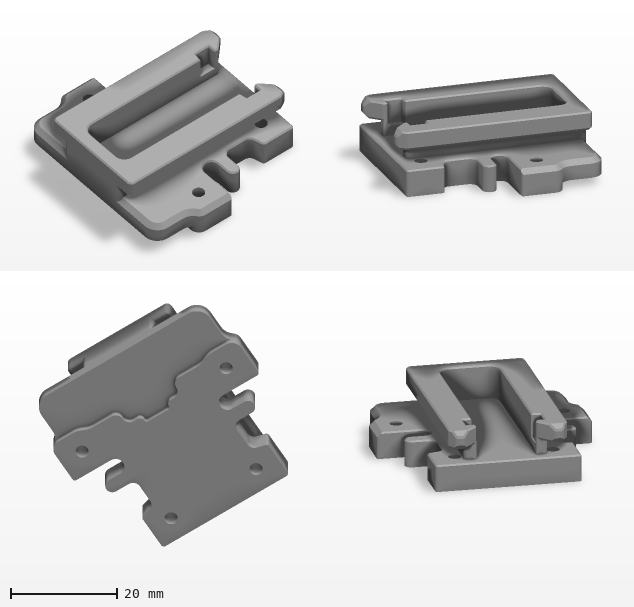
import cadquery as cq
import math

TOLERANCE = 0.01

BASE_TOP = 5.3
STEP_Z = 1.45
WING_HALF = 20.8
FRONT_HALF = 18.9
FRONT_CORNER_R = 3.0
WING_REAR_Y = 17.35
WING_REAR_R = 0.5
SHOULDER_Y = 10.75
SHOULDER_R = 2.0
WAIST_R = 3.0
LIP_CHAMFER = 1.0
FINE_CHAMFER = 0.3

GAP_HALF = 10.9
GAP_R = 1.5
FINGER_HALF = 16.55
FINGER_DIAMETER = 2.7
FINGER_Y = 22.0
TAB_HALF = 14.15
TAB_FRONT_Y = 30.55
TAB_SLOPE = 15.0
TAB_R = 0.6
BASE_REAR_Y = 38.05

HOLE_DIAMETER = 2.5
FRONT_HOLE = (16.15, 12.9)
REAR_HOLE = (9.53, 33.7)

STEP_Y = SHOULDER_Y - SHOULDER_R
OUTER_STEP = (15.6, 11.53)
OUTER_STEP_DEPTH = 1.0
MIDDLE_STEP_START = 7.57
MIDDLE_STEP_R = 1.55
INNER_STEP_START = 3.75
INNER_CONVEX_R = 1.0
INNER_CONCAVE_R = 0.5

NECK_HALF = 8.07
NECK_REAR_Y = 35.95
RAIL_R = 1.0
PLATE_HALF = 11.53
PLATE_BOTTOM = 8.25
PLATE_TOP = 11.95
PLATE_UNDER_CHAMFER = 0.5
PLATE_REAR_Y = 38.95
TIP_SIDE_Y = 36.9
TIP_SIDE_ANGLE = 60.0
TIP_BEVEL = 1.05

SLOT_HALF = 5.8
SLOT_FRONT_Y = 2.9
SLOT_R = 2.0
NOTCH_HALF = 7.55
NOTCH_REAR_Y = 35.0
NOTCH_FRONT_Y = 31.85
NOTCH_MOUTH_Y = 31.55
NOTCH_FLOOR = 7.25


def mirrored(right_points):
    """Complete an outline: the +X points, then their mirror images in reverse order."""
    return right_points + [(-x, y) for x, y in reversed(right_points)]


def both_sides(points):
    return points + [(-x, y) for x, y in points]


def prism(points, bottom, top):
    return cq.Workplane("XY", origin=(0, 0, bottom)).polyline(points).close().extrude(top - bottom)


def round_corners(body, corners, radius):
    """Round the vertical edges that stand on the given XY corners."""
    def on_corner(edge):
        middle = edge.Center()
        return any(math.hypot(middle.x - x, middle.y - y) < TOLERANCE for x, y in corners)

    return body.edges("|Z").filter(on_corner).fillet(radius)


def shoulder_points():
    """Start, middle, inflection, middle and end of the S-curve from front end to wing, +X side."""
    reach = SHOULDER_R + WAIST_R
    angle = math.acos(1 - (WING_HALF - FRONT_HALF) / reach)
    waist_x = FRONT_HALF + WAIST_R
    waist_y = SHOULDER_Y - reach * math.sin(angle)

    def on_waist(turn):
        return waist_x - WAIST_R * math.cos(turn), waist_y + WAIST_R * math.sin(turn)

    def on_shoulder(turn):
        return (WING_HALF - SHOULDER_R * (1 - math.cos(turn)),
                SHOULDER_Y - SHOULDER_R * math.sin(turn))

    return on_waist(0), on_waist(angle / 2), on_waist(angle), on_shoulder(angle / 2), on_shoulder(0)


def make_base():
    finger_r = FINGER_DIAMETER / 2
    finger_front = FINGER_Y - finger_r
    finger_rear = FINGER_Y + finger_r
    finger_end = FINGER_HALF - finger_r
    front_gap_r = (finger_front - WING_REAR_Y) / 2
    front_gap_end = GAP_HALF + front_gap_r
    front_gap_y = WING_REAR_Y + front_gap_r
    tab_root_y = TAB_FRONT_Y - (TAB_HALF - GAP_HALF) * math.tan(math.radians(TAB_SLOPE))
    waist, waist_mid, inflection, shoulder_mid, shoulder = shoulder_points()

    base = (
        cq.Workplane("XY")
        .moveTo(0, 0)
        .lineTo(FRONT_HALF, 0)
        .lineTo(*waist)
        .threePointArc(waist_mid, inflection)
        .threePointArc(shoulder_mid, shoulder)
        .lineTo(WING_HALF, WING_REAR_Y)
        .lineTo(front_gap_end, WING_REAR_Y)
        .threePointArc((GAP_HALF, front_gap_y), (front_gap_end, finger_front))
        .lineTo(finger_end, finger_front)
        .threePointArc((FINGER_HALF, FINGER_Y), (finger_end, finger_rear))
        .lineTo(GAP_HALF, finger_rear)
        .lineTo(GAP_HALF, tab_root_y)
        .lineTo(TAB_HALF, TAB_FRONT_Y)
        .lineTo(TAB_HALF, BASE_REAR_Y)
        .lineTo(0, BASE_REAR_Y)
        .mirrorY()
        .extrude(BASE_TOP)
    )

    gap_corners = [(GAP_HALF, y) for y in (finger_rear, tab_root_y)]
    tab_corners = [(TAB_HALF, TAB_FRONT_Y), (TAB_HALF, BASE_REAR_Y)]
    base = round_corners(base, both_sides([(FRONT_HALF, 0)]), FRONT_CORNER_R)
    base = round_corners(base, both_sides(gap_corners), GAP_R)
    base = round_corners(base, both_sides(tab_corners), TAB_R)

    def on_lip(edge):
        middle = edge.Center()
        return middle.y < WING_REAR_Y - FINE_CHAMFER

    base = base.faces(">Z").edges().filter(on_lip).chamfer(LIP_CHAMFER)
    base = base.faces(">Z").edges().filter(lambda edge: not on_lip(edge)).chamfer(FINE_CHAMFER)
    return round_corners(base, both_sides([(WING_HALF, WING_REAR_Y)]), WING_REAR_R)


def front_recess():
    """Material removed under the front lip, back to a stepped edge with rounded corners."""
    outer_x, level_x = OUTER_STEP
    level_y = STEP_Y + OUTER_STEP_DEPTH
    run = outer_x - level_x
    angle = 2 * math.atan(OUTER_STEP_DEPTH / run)
    outer_r = run / 2 / math.sin(angle)
    bulge_x = outer_r * math.sin(angle / 2)
    bulge_y = outer_r * (1 - math.cos(angle / 2))
    diagonal = math.sqrt(0.5)
    inflection = shoulder_points()[2]

    def quarter_turn(path, start, radius, convex):
        """Quarter arc running inward (-X) and rearward (+Y) from start."""
        x, y = start
        along, aside = diagonal * radius, (1 - diagonal) * radius
        end = (x - radius, y + radius)
        middle = (x - along, y + aside) if convex else (x - aside, y + along)
        return path.threePointArc(middle, end), end

    path = (
        cq.Workplane("XY")
        .moveTo(0, 0)
        .lineTo(WING_HALF, 0)
        .lineTo(WING_HALF, inflection[1])
        .lineTo(*inflection)
        .radiusArc((WING_HALF - SHOULDER_R, STEP_Y), SHOULDER_R)
        .lineTo(outer_x, STEP_Y)
        .threePointArc((outer_x - bulge_x, STEP_Y + bulge_y),
                       ((outer_x + level_x) / 2, (STEP_Y + level_y) / 2))
        .threePointArc((level_x + bulge_x, level_y - bulge_y), (level_x, level_y))
        .lineTo(MIDDLE_STEP_START, level_y)
    )
    path, end = quarter_turn(path, (MIDDLE_STEP_START, level_y), MIDDLE_STEP_R, True)
    path, end = quarter_turn(path, end, MIDDLE_STEP_R, False)
    inner_start = (INNER_STEP_START, end[1])
    path = path.lineTo(*inner_start)
    path, end = quarter_turn(path, inner_start, INNER_CONVEX_R, True)
    path, end = quarter_turn(path, end, INNER_CONCAVE_R, False)
    return path.lineTo(0, end[1]).mirrorY().extrude(STEP_Z)


def make_neck():
    corners = mirrored([(NECK_HALF, 0), (NECK_HALF, NECK_REAR_Y)])
    neck = prism(corners, BASE_TOP - LIP_CHAMFER, PLATE_BOTTOM + PLATE_UNDER_CHAMFER)
    return neck.edges("|Z").fillet(RAIL_R)


def make_plate():
    tip_outer_x = PLATE_HALF - (PLATE_REAR_Y - TIP_SIDE_Y) / math.tan(math.radians(TIP_SIDE_ANGLE))
    tip_inner_x = SLOT_HALF + PLATE_REAR_Y - NECK_REAR_Y
    front = (PLATE_HALF, 0)
    tip_corners = [
        (PLATE_HALF, TIP_SIDE_Y),
        (tip_outer_x, PLATE_REAR_Y),
        (tip_inner_x, PLATE_REAR_Y),
        (SLOT_HALF, NECK_REAR_Y),
    ]
    slot_front = (SLOT_HALF, SLOT_FRONT_Y)
    plate = prism(mirrored([front] + tip_corners + [slot_front]), PLATE_BOTTOM, PLATE_TOP)
    plate = round_corners(plate, both_sides([front] + tip_corners), RAIL_R)
    plate = round_corners(plate, both_sides([slot_front]), SLOT_R)
    plate = plate.cut(make_notches())

    def on_outside(edge):
        middle = edge.Center()
        return abs(middle.x) > NECK_HALF or middle.y < SLOT_FRONT_Y / 2

    plate = plate.faces("<Z").edges().filter(on_outside).chamfer(PLATE_UNDER_CHAMFER)
    plate = plate.cut(tip_bevels())

    def faces_up(face):
        return face.normalAt().z > TOLERANCE

    def off_bevel_start(edge):
        middle = edge.Center()
        from_bevel_start = math.hypot(middle.y - (PLATE_REAR_Y - TIP_BEVEL), middle.z - PLATE_TOP)
        return from_bevel_start > TOLERANCE

    return plate.faces().filter(faces_up).edges().filter(off_bevel_start).chamfer(FINE_CHAMFER)


def tip_bevels():
    """Wedges that bevel the upper and lower edges of the tip ends."""
    start_y = PLATE_REAR_Y - TIP_BEVEL

    def wedge(edge_z, direction):
        points = [
            (start_y, edge_z),
            (PLATE_REAR_Y, edge_z),
            (PLATE_REAR_Y, edge_z - direction * TIP_BEVEL),
        ]
        return cq.Workplane("YZ").polyline(points).close().extrude(PLATE_HALF, both=True)

    return wedge(PLATE_TOP, 1).union(wedge(PLATE_BOTTOM, -1))


def make_slot():
    corners = mirrored([(SLOT_HALF, SLOT_FRONT_Y), (SLOT_HALF, PLATE_REAR_Y)])
    slot = prism(corners, BASE_TOP, PLATE_TOP)
    return slot.edges("|Z and <Y").fillet(SLOT_R)


def make_notches():
    """Opposite pockets in the slot walls, cut as one prism spanning the slot."""
    right = [(SLOT_HALF, NOTCH_MOUTH_Y), (NOTCH_HALF, NOTCH_FRONT_Y), (NOTCH_HALF, NOTCH_REAR_Y)]
    right += [(SLOT_HALF + FINE_CHAMFER, NOTCH_REAR_Y), (SLOT_HALF, NOTCH_REAR_Y + FINE_CHAMFER)]
    return prism(mirrored(right), NOTCH_FLOOR, PLATE_TOP)


base = make_base().cut(front_recess())
neck = make_neck().cut(make_slot().union(make_notches()))
holes = (
    cq.Workplane("XY")
    .pushPoints(both_sides([FRONT_HOLE, REAR_HOLE]))
    .circle(HOLE_DIAMETER / 2)
    .extrude(BASE_TOP)
)
result = base.cut(holes).union(neck).union(make_plate())